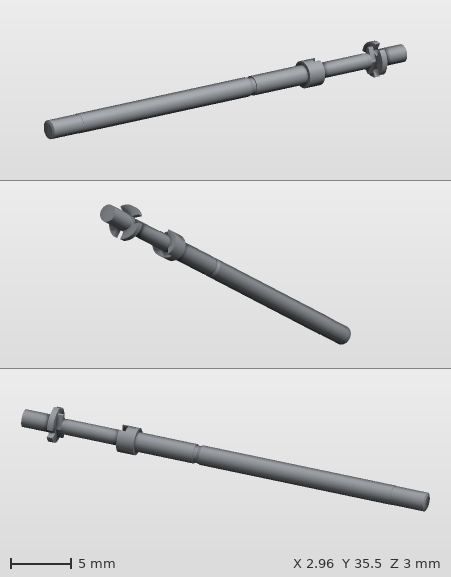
import cadquery as cq

total_length = 35.5
disc_start = 2.5
disc_thickness = 0.5
wing_thickness = 0.45
cone_length = 0.4
collar_start = 8.5
collar_length = 1.5
groove_start = 15.1
groove_floor_length = 0.25
groove_ramp_length = 0.3
tip_length = 3.0
tip_chamfer_length = 0.1
tip_chamfer_depth = 0.2

tail_diameter = 1.5
disc_diameter = 3.0
cone_diameter = 1.25
shaft_diameter = 1.32
collar_diameter = 2.3
barrel_diameter = 1.65
tip_diameter = 1.6
groove_diameter = 1.45

wing_width = 1.2
wing_height = 2.3
wing_flat = 0.2

slot_width = 0.72
slot_floor_radius = 0.75
slot_angles = (60, 180, 300)

notch_width = 0.75
notch_length = 0.55

tail_y = total_length / 2
disc_end = disc_start + disc_thickness
wing_end = disc_end + wing_thickness
cone_end = wing_end + cone_length
collar_end = collar_start + collar_length
groove_floor_end = groove_start + groove_floor_length
groove_end = groove_floor_end + groove_ramp_length
tip_start = total_length - tip_length


def cross_section(distance):
    """XZ workplane at a distance from the tail end, with its normal toward the tip."""
    return cq.Workplane("XZ", origin=(0, tail_y - distance, 0))


def rod(diameter, start, end):
    """Cylinder on the pin axis between two distances from the tail end."""
    return cross_section(start).circle(diameter / 2).extrude(end - start)


def taper(start_diameter, end_diameter, start, end):
    """Cone frustum on the pin axis between two distances from the tail end."""
    base = cross_section(start).circle(start_diameter / 2)
    return base.workplane(offset=end - start).circle(end_diameter / 2).loft()


def slotted_disc():
    disc = rod(disc_diameter, disc_start, disc_end)
    slot_length = disc_diameter / 2
    slot = cq.Workplane("XY").box(
        slot_length, disc_thickness, slot_width, centered=(False, False, True)
    )
    slot = slot.translate((slot_floor_radius, tail_y - disc_end, 0))
    for angle in slot_angles:
        disc = disc.cut(slot.rotate((0, 0, 0), (0, 1, 0), angle))
    return disc


def wing():
    side = wing_width / 2
    top = wing_height / 2
    flat = wing_flat / 2
    outline = [(-side, 0), (-flat, top), (flat, top), (side, 0), (flat, -top), (-flat, -top)]
    return cross_section(disc_end).polyline(outline).close().extrude(wing_thickness)


def shaft():
    cone = taper(cone_diameter, shaft_diameter, wing_end, cone_end)
    return cone.union(rod(shaft_diameter, cone_end, collar_end))


def notched_collar():
    """Collar whose two notches reach down to the shaft added inside it."""
    collar = rod(collar_diameter, collar_start, collar_end)
    notches = cross_section(collar_start).rect(notch_width, collar_diameter).extrude(notch_length)
    return collar.cut(notches)


def barrel():
    """Front tube with a groove that has a square rear wall and a ramped front wall."""
    rear = rod(barrel_diameter, collar_end, groove_start)
    floor = rod(groove_diameter, groove_start, groove_floor_end)
    ramp = taper(groove_diameter, barrel_diameter, groove_floor_end, groove_end)
    front = rod(barrel_diameter, groove_end, tip_start)
    return rear.union(floor).union(ramp).union(front)


def tip():
    """Slightly thinner end section with a chamfered rim."""
    body = rod(tip_diameter, tip_start, total_length)
    return body.faces("<Y").chamfer(tip_chamfer_length, tip_chamfer_depth)


result = (
    rod(tail_diameter, 0, disc_start)
    .union(slotted_disc())
    .union(wing())
    .union(shaft())
    .union(notched_collar())
    .union(barrel())
    .union(tip())
)